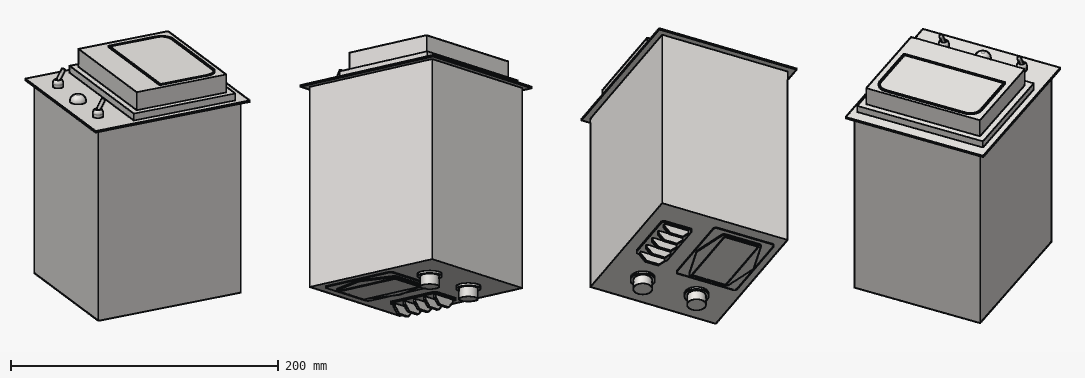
import cadquery as cq


overall_height = 187
case_width = 105.1
case_depth = 120.0
case_height = 155.5
plate_width = 115.0
plate_depth = 130.0
plate_thickness = 1.3
plate_top = case_height + plate_thickness

bezel_y = 12.5
lower_bezel_depth = 85.5
lower_bezel_height = 5.6
upper_bezel_width = 95.2
upper_bezel_depth = 75.5
upper_bezel_height = 14.5
bezel_top = plate_top + lower_bezel_height + upper_bezel_height

window_width = 83.0
window_height = 47.9
window_y = 21.9
window_corner_radius = 8.5
groove_width = 1.1
groove_depth = 0.5

control_y = -50.1
post_root = 0.5
switch_spacing = 65.3
switch_radius = 4.0
switch_collar_height = 2.8
switch_flat_radius = 2.0
switch_height = 5.6
lever_radius = 1.5
lever_length = 9.7
lever_root = 1.5
lever_pivot_height = 4.9
lever_tilt = 30
lever_tip_fillet = 0.7
lamp_radius = 6.2
lamp_flat_radius = 1.3
lamp_height = 5.5

connector_spacing = 45.0
connector_y = 32.4
connector_radius = 7.1
connector_flange_radius = 9.2
connector_flange_thickness = 1.9
connector_length = overall_height - bezel_top

terminal_x = -30.0
terminal_y = -18.1
terminal_plate_width = 25.5
terminal_plate_depth = 45.0
terminal_plate_thickness = 1.3
terminal_corner_radius = 2.5
blade_count = 5
blade_pitch = 10.0
blade_width = 20.0
blade_thickness = 1.9
blade_length = 8.2
blade_chamfer = 4.7

socket_x = 21.3
socket_y = -18.0
gasket_width = 50.5
gasket_depth = 65.3
gasket_thickness = 0.7
socket_width = 47.9
socket_depth = 57.8
socket_end_width = 31.8
socket_thickness = 1.9
socket_corner_radius = 2.5
socket_core_width = 28.5
socket_core_depth = 54.8
socket_core_thickness = 2.6


def block(width, depth, height, x=0, y=0, z=0):
    """Box centred on (x, y) that rises from z, or hangs from it if height is negative."""
    return cq.Workplane("XY", origin=(x, y, z)).rect(width, depth).extrude(height)


def make_housing():
    case = block(case_width, case_depth, case_height)
    plate = block(plate_width, plate_depth, plate_thickness, z=case_height)
    lower_bezel = block(case_width, lower_bezel_depth, lower_bezel_height, y=bezel_y, z=plate_top)
    upper_bezel = block(
        upper_bezel_width, upper_bezel_depth, upper_bezel_height,
        y=bezel_y, z=plate_top + lower_bezel_height,
    )
    return case.union(plate).union(lower_bezel).union(upper_bezel)


def make_window_groove():
    """Ring around a window that has round upper corners and square lower corners."""
    window = block(window_width, window_height, -groove_depth, y=window_y, z=bezel_top)
    window = window.edges("|Z and >Y").fillet(window_corner_radius)
    outline = window.faces(">Z").wires().toPending().offset2D(groove_width)
    return outline.extrude(-groove_depth, combine=False).cut(window)


def domed_post(radius, collar_height, flat_radius, height):
    """Round post, rooted in the plate, with a dome that curves in to a small flat top."""
    return (
        cq.Workplane("XZ")
        .moveTo(0, -post_root)
        .lineTo(radius, -post_root)
        .lineTo(radius, collar_height)
        .tangentArcPoint((flat_radius, height), relative=False)
        .lineTo(0, height)
        .close()
        .revolve(360, (0, 0), (0, 1))
    )


def make_switch(x):
    """Toggle switch with its lever leaning towards the bezel."""
    lever = cq.Workplane("XY").workplane(offset=-lever_root).circle(lever_radius)
    lever = lever.extrude(lever_root + lever_length)
    lever = lever.faces(">Z").edges().fillet(lever_tip_fillet)
    lever = lever.rotate((0, 0, 0), (1, 0, 0), -lever_tilt).translate((0, 0, lever_pivot_height))
    base = domed_post(switch_radius, switch_collar_height, switch_flat_radius, switch_height)
    return base.union(lever).translate((x, control_y, plate_top))


def make_lamp():
    lamp = domed_post(lamp_radius, 0, lamp_flat_radius, lamp_height)
    return lamp.translate((0, control_y, plate_top))


def make_round_connector(x):
    base = cq.Workplane("XY", origin=(x, connector_y, 0))
    flange = base.circle(connector_flange_radius).extrude(-connector_flange_thickness)
    return flange.union(base.circle(connector_radius).extrude(-connector_length))


def make_blade(y):
    """Flat blade across X with both corners of its free end cut at 45 degrees."""
    blade = block(blade_width, blade_thickness, -blade_length, x=terminal_x, y=y)
    return blade.faces("<Z").edges("|Y").chamfer(blade_chamfer)


def make_terminal_block():
    terminal_block = block(
        terminal_plate_width, terminal_plate_depth, -terminal_plate_thickness,
        x=terminal_x, y=terminal_y,
    )
    terminal_block = terminal_block.edges("|Z").fillet(terminal_corner_radius)
    for i in range(blade_count):
        offset = (i - (blade_count - 1) / 2) * blade_pitch
        terminal_block = terminal_block.union(make_blade(terminal_y + offset))
    return terminal_block


def make_socket():
    """Thin rounded gasket, six-sided flange pointed towards -X and +X, and a raised core."""
    gasket = block(gasket_width, gasket_depth, -gasket_thickness, x=socket_x, y=socket_y)
    gasket = gasket.edges("|Z").fillet(socket_corner_radius)
    core = block(socket_core_width, socket_core_depth, -socket_core_thickness, x=socket_x, y=socket_y)
    half_width = socket_width / 2
    half_end = socket_end_width / 2
    half_depth = socket_depth / 2
    flange = (
        cq.Workplane("XY", origin=(socket_x, socket_y, 0))
        .polyline([
            (half_width, 0), (half_end, half_depth), (-half_end, half_depth),
            (-half_width, 0), (-half_end, -half_depth), (half_end, -half_depth),
        ])
        .close()
        .extrude(-socket_thickness)
    )
    flange = flange.edges("|Z and (>Y or <Y)").fillet(socket_corner_radius)
    return gasket.union(flange).union(core)


result = make_housing().cut(make_window_groove()).union(make_lamp())
for side in (-1, 1):
    result = result.union(make_switch(side * switch_spacing / 2))
    result = result.union(make_round_connector(side * connector_spacing / 2))
result = result.union(make_terminal_block()).union(make_socket())